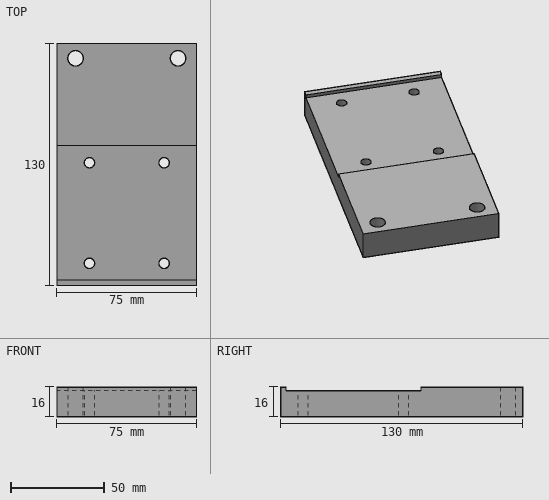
import cadquery as cq

width = 75.0
length = 130
thickness = 16.0

lip_length = 3.0
pad_length = 54.7
recess_depth = 2.0
recess_length = length - lip_length - pad_length

pad_hole_diameter = 8.2
pad_hole_spacing = 55.0
pad_hole_rear_margin = 8.0

recess_hole_diameter = 5.5
recess_hole_spacing_x = 40.0
recess_hole_spacing_y = 54.0
recess_hole_front_margin = 12.0

plate = cq.Workplane("XY").box(width, length, thickness, centered=(True, False, False))

recess = (
    cq.Workplane("XY", origin=(0, lip_length, thickness - recess_depth))
    .box(width, recess_length, recess_depth, centered=(True, False, False))
)

pad_holes = (
    cq.Workplane("XY", origin=(0, length - pad_hole_rear_margin, 0))
    .rarray(pad_hole_spacing, 1.3, 2, 1)
    .circle(pad_hole_diameter / 2)
    .extrude(thickness)
)

recess_hole_center_y = recess_hole_front_margin + recess_hole_spacing_y / 2
recess_holes = (
    cq.Workplane("XY", origin=(0, recess_hole_center_y, 0))
    .rarray(recess_hole_spacing_x, recess_hole_spacing_y, 2, 2)
    .circle(recess_hole_diameter / 2)
    .extrude(thickness)
)

result = plate.cut(recess).cut(pad_holes).cut(recess_holes)